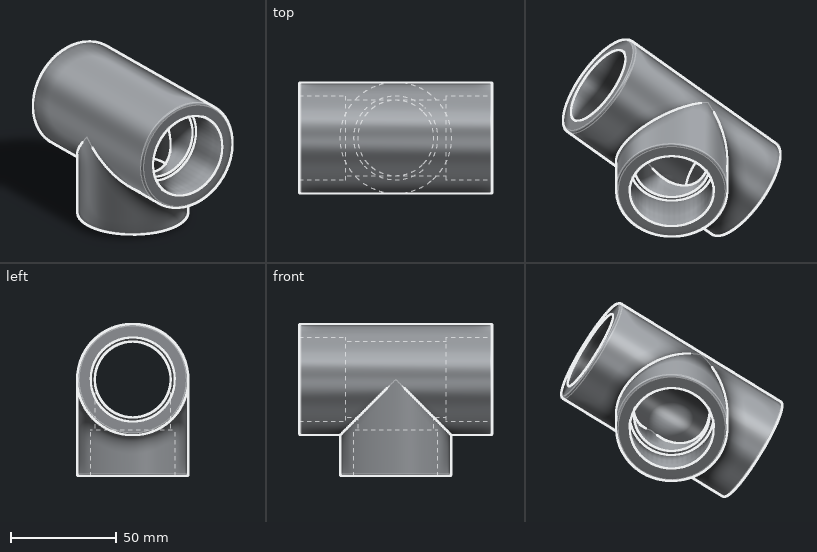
import cadquery as cq


outer_diameter = 53.0
bore_diameter = 36.0
socket_diameter = 40.0
socket_depth = 22.0
run_length = 92.0
edge_round = 1.0

arm_length = run_length / 2

LEFT = cq.Vector(-1, 0, 0)
RIGHT = cq.Vector(1, 0, 0)
DOWN = cq.Vector(0, 0, -1)


def arm_cylinder(direction, start, end, diameter):
    """Cylinder along an arm, between two distances from the axis crossing."""
    cylinder = cq.Solid.makeCylinder(diameter / 2, end - start, direction * start, direction)
    return cq.Workplane(cylinder)


def tee_body():
    """Solid tee with the outer rim of every arm rounded."""
    run = arm_cylinder(RIGHT, -arm_length, arm_length, outer_diameter)
    run = run.faces("<X or >X").edges().fillet(edge_round)
    branch = arm_cylinder(DOWN, 0, arm_length, outer_diameter)
    branch = branch.faces("<Z").edges().fillet(edge_round)
    return run.union(branch)


def open_arm(body, direction):
    """Cut one arm's bore from the axis crossing, then its wider pipe socket."""
    bore = arm_cylinder(direction, 0, arm_length, bore_diameter)
    socket = arm_cylinder(direction, arm_length - socket_depth, arm_length, socket_diameter)
    return body.cut(bore).cut(socket)


result = tee_body()
for arm_direction in (LEFT, RIGHT, DOWN):
    result = open_arm(result, arm_direction)